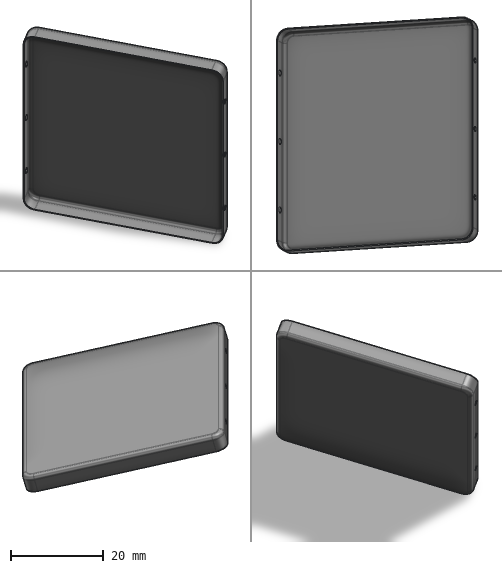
import cadquery as cq
import math

width = 44.9
depth = 4.0
height = 48.9

wall = 0.25
corner_radius = 2.6
rim_radius = 1.1

dimple_diameter = 1.1
dimple_depth = 0.3
dimple_pitch = 15.0
dimple_from_open_side = 1.4
dimple_count = 3


def rounded_block(inset):
    """Rounded block inset from the outside, running from y = 0 to the inset back."""
    return (
        cq.Workplane("XZ")
        .rect(width - 2 * inset, height - 2 * inset)
        .extrude(-(depth - inset))
        .edges("|Y")
        .fillet(corner_radius - inset)
        .faces(">Y")
        .edges()
        .fillet(rim_radius - inset)
    )


def dimple_cap(side, z, rim_x, cap_radius):
    """Part of a dimple's ball lying inward of x = rim_x on one side; side is -1 or 1."""
    tip_x = ball_center_x - cap_radius
    rim_height = math.sqrt(cap_radius**2 - (ball_center_x - rim_x) ** 2)
    cap_profile = (
        cq.Workplane("XY")
        .moveTo(side * rim_x, 0)
        .lineTo(side * rim_x, rim_height)
        .radiusArc((side * tip_x, 0), -side * cap_radius)
        .close()
    )
    cap = cap_profile.revolve(360, (0, 0, 0), (1, 0, 0))
    return cap.translate((0, dimple_from_open_side, z))


ball_radius = ((dimple_diameter / 2) ** 2 + dimple_depth**2) / (2 * dimple_depth)
ball_center_x = width / 2 - dimple_depth + ball_radius

result = rounded_block(0).cut(rounded_block(wall))

for side in (-1, 1):
    for index in range(dimple_count):
        z = (index - (dimple_count - 1) / 2) * dimple_pitch
        bump = dimple_cap(side, z, width / 2 - wall, ball_radius + wall)
        hollow = dimple_cap(side, z, width / 2, ball_radius)
        result = result.union(bump).cut(hollow)